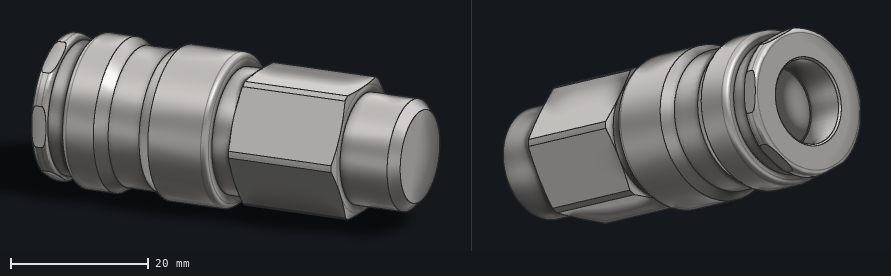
import cadquery as cq
import math

collar_end = 2.5
socket_floor = 6.1
grip_start = 5.25
front_land_end = 10.45
waist_start = 12.35
waist_end = 17.3
rear_land_start = 19.2
grip_end = 28.5
hex_start = 31.4
hex_end = 48.55
total_length = 57.5

collar_diameter = 21.9
collar_across_flats = 21.0
collar_turn = 30.0
collar_rounding = 0.8
front_neck_diameter = 20.0
grip_diameter = 23.1
waist_diameter = 21.0
grip_rounding = 0.85
socket_diameter = 12.6
mouth_chamfer = 0.3

nose_diameter = 12.1
rear_neck_diameter = 19.0
hex_across_flats = 19.0
hex_turn = 0.5
hex_corner_diameter = 21.35
hex_end_diameter = 19.0
hex_end_chamfer = 0.35
spigot_diameter = 16.7
spigot_chamfer = 1.45


def cylinder(diameter, start, end):
    """Solid cylinder on the X axis between two positions."""
    return cq.Workplane("YZ").workplane(offset=start).circle(diameter / 2).extrude(end - start)


def hexagonal_bar(across_flats, start, end, turn):
    """Hexagonal bar on the X axis, turned about X from having two corners on Y."""
    across_corners = across_flats / math.cos(math.radians(30))
    bar = cq.Workplane("YZ").workplane(offset=start).polygon(6, across_corners).extrude(end - start)
    return bar.rotate((0, 0, 0), (1, 0, 0), turn)


def make_collar():
    """Rounded disc with six flats on its rim, two of them facing along Y."""
    disc = cylinder(collar_diameter, 0, collar_end).edges().fillet(collar_rounding)
    return disc.intersect(hexagonal_bar(collar_across_flats, 0, collar_end, collar_turn))


def make_grip():
    """Waisted grip with two full-diameter lands, rounded at both ends."""
    land_radius = grip_diameter / 2
    waist_radius = waist_diameter / 2
    end_radius = land_radius - grip_rounding
    return (
        cq.Workplane("XY")
        .moveTo(grip_start, 0)
        .lineTo(grip_start, end_radius)
        .radiusArc((grip_start + grip_rounding, land_radius), grip_rounding)
        .lineTo(front_land_end, land_radius)
        .lineTo(waist_start, waist_radius)
        .lineTo(waist_end, waist_radius)
        .lineTo(rear_land_start, land_radius)
        .lineTo(grip_end - grip_rounding, land_radius)
        .radiusArc((grip_end, end_radius), grip_rounding)
        .lineTo(grip_end, 0)
        .close()
        .revolve(360, (0, 0, 0), (1, 0, 0))
    )


def make_socket_body():
    """Front half of the coupling: socket in the mouth, then a narrower bore for the nose."""
    neck = cylinder(front_neck_diameter, collar_end, grip_start)
    body = make_collar().union(neck).union(make_grip())
    body = body.cut(cylinder(socket_diameter, 0, socket_floor))
    body = body.cut(cylinder(nose_diameter, socket_floor, grip_end))
    mouth_edge = cq.selectors.RadiusNthSelector(0)
    return body.faces("<X").edges(mouth_edge).chamfer(mouth_chamfer)


def make_hexagon():
    """Wrench hexagon with turned corners and conical ends."""
    corner_depth = (hex_corner_diameter - hex_end_diameter) / 2
    blank = cylinder(hex_corner_diameter, hex_start, hex_end)
    blank = blank.faces("<X").chamfer(hex_end_chamfer, corner_depth)
    blank = blank.faces(">X").chamfer(hex_end_chamfer, corner_depth)
    return blank.intersect(hexagonal_bar(hex_across_flats, hex_start, hex_end, hex_turn))


def make_rear_body():
    """Rear half of the coupling: its nose fills the bore and closes the socket floor."""
    nose = cylinder(nose_diameter, socket_floor, grip_end)
    neck = cylinder(rear_neck_diameter, grip_end, hex_start)
    spigot = cylinder(spigot_diameter, hex_end, total_length)
    spigot = spigot.faces(">X").chamfer(spigot_chamfer)
    return nose.union(neck).union(make_hexagon()).union(spigot)


socket_body = make_socket_body()
rear_body = make_rear_body()

result = cq.Compound.makeCompound([socket_body.solids().val(), rear_body.solids().val()])